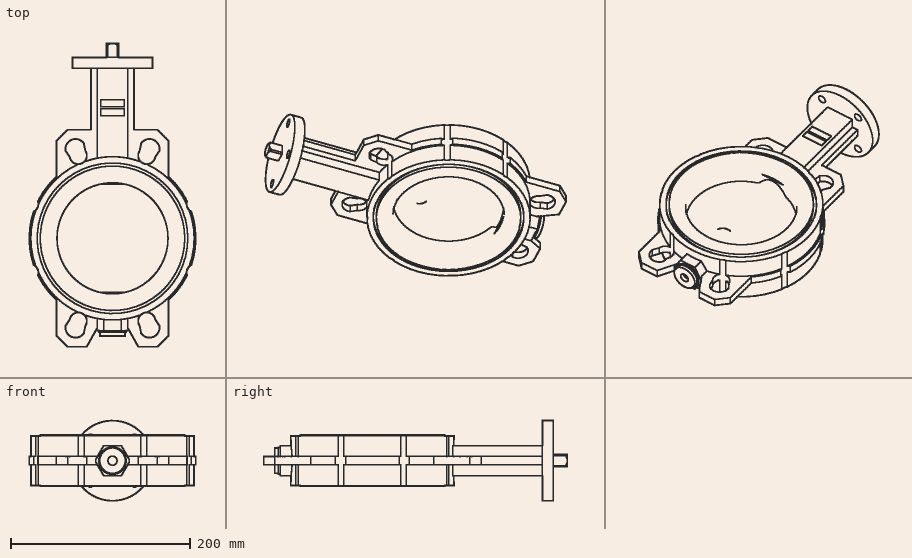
import cadquery as cq
import math


BODY_RADIUS = 91.2
BODY_HALF_LENGTH = 27.8
SEAT_HALF_LENGTH = 28.8
SEAT_RADIUS = 80.7
GROOVE_RADIUS = 84.0
GROOVE_DEPTH = 3.5
BORE_RADIUS = 62.0
BORE_ROUNDING = 5.8
BORE_FLAT_Y = 60.5
BORE_FLAT_HALF_HEIGHT = 17.3

PLATE_THICKNESS = 9.5
RIM_DIAMETER = 186.0
LUG_HALF_WIDTH = 62.7
LUG_REACH = 121.5
LUG_CHAMFER = 12.5
LUG_GAP_HALF_WIDTH = 28.8
LUG_GAP_INNER_HALF_WIDTH = 17.0
LUG_GAP_DEPTH = 21.5
RIB_WIDTH = 48.0

OUTER_BOLT_CIRCLE_RADIUS = 107.8
OUTER_BOLT_HOLE_RADIUS = 11.2
INNER_BOLT_CIRCLE_RADIUS = 100.0
INNER_BOLT_HOLE_RADIUS = 9.5
BOLT_COUNT = 8

NECK_WIDTH = 34.0
LABEL_WIDTH = 26.0
LABEL_HEIGHT = 8.0
LABEL_DEPTH = 0.5
LABEL_CENTRES_Y = (140.7, 151.0)
FLANGE_DIAMETER = 90.0
FLANGE_THICKNESS = 12.2
FLANGE_TOP_Y = 202.0
FLANGE_BOLT_RADIUS = 35.0
FLANGE_HOLE_DIAMETER = 9.0
FLANGE_HOLE_COUNT = 4
FLANGE_FIRST_HOLE_ANGLE = 45
SHAFT_TOP_Y = 217.5
SHAFT_SQUARE = 14.0
SHAFT_TURNED_RADIUS = 8.8
SHAFT_CHAMFER = 1.7

HEX_ACROSS_FLATS = NECK_WIDTH
HEX_END_Y = -103.0
COLLAR_RADIUS = 15.3
COLLAR_END_Y = -105.0
PLUG_RADIUS = 14.2
PLUG_END_Y = -109.0
PLUG_HOLE_RADIUS = 5.0
PLUG_HOLE_DEPTH = 5.0

DISC_EDGE_HALF_THICKNESS = 2.0
DISC_CENTRE_HALF_THICKNESS = 6.0
BLANK_RADIUS = 67.8
HUB_ARC_CENTRE_Z = 0.7
HUB_SIDE_ANGLE = math.radians(46)
HUB_OUTER_ARC_RADIUS = 15.3
HUB_INNER_ARC_RADIUS = 11.5
HUB_OUTER_Y = 71.2
HUB_INNER_Y = 24.0
HUB_END_ROUNDING = 9.5
HUB_ROOT_ROUNDING = 6.5

TOLERANCE = 0.005


def cylinder_along_y(radius, start_y, end_y):
    return cq.Workplane("XZ", origin=(0, start_y, 0)).circle(radius).extrude(start_y - end_y)


def box_between_y(width, height, start_y, end_y):
    middle_y = (start_y + end_y) / 2
    return cq.Workplane("XY").box(width, end_y - start_y, height).translate((0, middle_y, 0))


def polar(radius, angle):
    return radius * math.cos(angle), radius * math.sin(angle)


def make_plate():
    rim = cq.Workplane("XY").circle(RIM_DIAMETER / 2).extrude(PLATE_THICKNESS / 2, both=True)
    lugs = (
        cq.Workplane("XY")
        .rect(2 * LUG_HALF_WIDTH, 2 * LUG_REACH)
        .extrude(PLATE_THICKNESS / 2, both=True)
        .edges("|Z")
        .chamfer(LUG_CHAMFER)
    )
    gap_top_y = -LUG_REACH + LUG_GAP_DEPTH
    gap = (
        cq.Workplane("XY")
        .polyline([
            (-LUG_GAP_HALF_WIDTH, -LUG_REACH),
            (-LUG_GAP_INNER_HALF_WIDTH, gap_top_y),
            (LUG_GAP_INNER_HALF_WIDTH, gap_top_y),
            (LUG_GAP_HALF_WIDTH, -LUG_REACH),
        ])
        .close()
        .extrude(PLATE_THICKNESS, both=True)
    )
    rib = box_between_y(RIB_WIDTH, PLATE_THICKNESS, 0, FLANGE_TOP_Y - FLANGE_THICKNESS)
    return rim.union(lugs).cut(gap).union(rib)


def make_neck():
    flange_bottom_y = FLANGE_TOP_Y - FLANGE_THICKNESS
    neck = box_between_y(NECK_WIDTH, NECK_WIDTH, 0, flange_bottom_y)
    for label_y in LABEL_CENTRES_Y:
        label = cq.Workplane("XY").box(LABEL_WIDTH, LABEL_HEIGHT, 2 * LABEL_DEPTH)
        neck = neck.cut(label.translate((0, label_y, NECK_WIDTH / 2)))
    flange = cylinder_along_y(FLANGE_DIAMETER / 2, flange_bottom_y, FLANGE_TOP_Y)
    flange = (
        flange.faces(">Y")
        .workplane(origin=(0, FLANGE_TOP_Y, 0))
        .polarArray(FLANGE_BOLT_RADIUS, FLANGE_FIRST_HOLE_ANGLE, 360, FLANGE_HOLE_COUNT)
        .hole(FLANGE_HOLE_DIAMETER)
    )
    shaft = box_between_y(SHAFT_SQUARE, SHAFT_SQUARE, flange_bottom_y, SHAFT_TOP_Y)
    turned = cylinder_along_y(SHAFT_TURNED_RADIUS, flange_bottom_y, SHAFT_TOP_Y)
    shaft = shaft.intersect(turned.faces(">Y").chamfer(SHAFT_CHAMFER))
    return neck.union(flange).union(shaft)


def make_bottom_plug():
    hex_diameter = HEX_ACROSS_FLATS / math.cos(math.pi / 6)
    hexagon = cq.Workplane("XZ").polygon(6, hex_diameter).extrude(-HEX_END_Y)
    collar = cylinder_along_y(COLLAR_RADIUS, HEX_END_Y, COLLAR_END_Y)
    plug = cylinder_along_y(PLUG_RADIUS, COLLAR_END_Y, PLUG_END_Y)
    hole = cylinder_along_y(PLUG_HOLE_RADIUS, PLUG_END_Y + PLUG_HOLE_DEPTH, PLUG_END_Y)
    return hexagon.union(collar).union(plug).cut(hole)


def make_body_ring():
    return cq.Workplane("XY").circle(BODY_RADIUS).extrude(BODY_HALF_LENGTH, both=True)


def bolt_opening(angle):
    """Tangent hull of the two bolt holes on one radial line, through the full body length."""
    spread = OUTER_BOLT_CIRCLE_RADIUS - INNER_BOLT_CIRCLE_RADIUS
    tilt = math.acos((OUTER_BOLT_HOLE_RADIUS - INNER_BOLT_HOLE_RADIUS) / spread)
    outer_x, outer_y = polar(OUTER_BOLT_HOLE_RADIUS, tilt)
    inner_x, inner_y = polar(INNER_BOLT_HOLE_RADIUS, tilt)
    outer_x += OUTER_BOLT_CIRCLE_RADIUS
    inner_x += INNER_BOLT_CIRCLE_RADIUS
    opening = (
        cq.Workplane("XY")
        .moveTo(inner_x, -inner_y)
        .lineTo(outer_x, -outer_y)
        .threePointArc((OUTER_BOLT_CIRCLE_RADIUS + OUTER_BOLT_HOLE_RADIUS, 0), (outer_x, outer_y))
        .lineTo(inner_x, inner_y)
        .threePointArc((INNER_BOLT_CIRCLE_RADIUS - INNER_BOLT_HOLE_RADIUS, 0), (inner_x, -inner_y))
        .close()
        .extrude(SEAT_HALF_LENGTH, both=True)
    )
    return opening.rotate((0, 0, 0), (0, 0, 1), angle)


def cut_bolt_openings(casting):
    step = 360 / BOLT_COUNT
    for index in range(BOLT_COUNT):
        casting = casting.cut(bolt_opening((index + 0.5) * step))
    return casting


def add_seat(casting):
    groove_floor = BODY_HALF_LENGTH - GROOVE_DEPTH
    for side in (1, -1):
        groove = (
            cq.Workplane("XY", origin=(0, 0, side * groove_floor))
            .circle(GROOVE_RADIUS)
            .extrude(side * SEAT_HALF_LENGTH)
        )
        casting = casting.cut(groove)
    seat = cq.Workplane("XY").circle(SEAT_RADIUS).extrude(SEAT_HALF_LENGTH, both=True)
    return casting.union(seat)


def make_bore():
    bore = cq.Workplane("XY").circle(BORE_RADIUS).extrude(SEAT_HALF_LENGTH, both=True)
    mouth_radius = BORE_RADIUS + BORE_ROUNDING
    tangent_z = SEAT_HALF_LENGTH - BORE_ROUNDING
    arc_offset = BORE_ROUNDING * math.sqrt(0.5)
    flare = (
        cq.Workplane("XZ")
        .moveTo(0, tangent_z)
        .lineTo(BORE_RADIUS, tangent_z)
        .threePointArc(
            (mouth_radius - arc_offset, tangent_z + arc_offset),
            (mouth_radius, SEAT_HALF_LENGTH),
        )
        .lineTo(0, SEAT_HALF_LENGTH)
        .close()
        .revolve(360, (0, 0, 0), (0, 1, 0))
    )
    shaft_flats = cq.Workplane("XY").circle(BORE_RADIUS).extrude(BORE_FLAT_HALF_HEIGHT, both=True)
    shaft_flats = shaft_flats.cut(
        cq.Workplane("XY").box(2 * BORE_RADIUS, 2 * BORE_FLAT_Y, 2 * SEAT_HALF_LENGTH)
    )
    return bore.union(flare).union(flare.mirror("XY")).cut(shaft_flats)


def hub_section(arc_radius, y):
    """Roof-shaped section with a round ridge, standing on the disc mid-plane."""
    tangent_x = arc_radius * math.sin(HUB_SIDE_ANGLE)
    tangent_z = HUB_ARC_CENTRE_Z + arc_radius * math.cos(HUB_SIDE_ANGLE)
    foot_x = tangent_x + tangent_z / math.tan(HUB_SIDE_ANGLE)
    return (
        cq.Workplane("XZ", origin=(0, y, 0))
        .moveTo(-foot_x, 0)
        .lineTo(-tangent_x, tangent_z)
        .threePointArc((0, HUB_ARC_CENTRE_Z + arc_radius), (tangent_x, tangent_z))
        .lineTo(foot_x, 0)
        .close()
        .wires()
        .val()
    )


def make_hub():
    inner = hub_section(HUB_INNER_ARC_RADIUS, HUB_INNER_Y)
    outer = hub_section(HUB_OUTER_ARC_RADIUS, HUB_OUTER_Y)
    hub = cq.Workplane(cq.Solid.makeLoft([inner, outer], True))
    return hub.faces("<Y").edges("not <Z").fillet(HUB_END_ROUNDING)


def disc_surface_z(x, y):
    slope = (DISC_CENTRE_HALF_THICKNESS - DISC_EDGE_HALF_THICKNESS) / BORE_RADIUS
    return DISC_CENTRE_HALF_THICKNESS - slope * math.hypot(x, y)


def is_hub_root(edge):
    """True for the edges where a hub rises out of the conical disc face."""
    points = [edge.positionAt(fraction) for fraction in (0, 0.5, 1)]
    on_disc = all(abs(point.z - disc_surface_z(point.x, point.y)) < TOLERANCE for point in points)
    return on_disc and math.hypot(points[1].x, points[1].y) < BLANK_RADIUS - TOLERANCE


def make_half_disc():
    """Upper half of the disc, shaped as an oversize blank and then trimmed to the bore."""
    blank = (
        cq.Workplane("XZ")
        .polyline([
            (0, 0),
            (BLANK_RADIUS, 0),
            (BLANK_RADIUS, disc_surface_z(BLANK_RADIUS, 0)),
            (0, DISC_CENTRE_HALF_THICKNESS),
        ])
        .close()
        .revolve(360, (0, 0, 0), (0, 1, 0))
    )
    hub = make_hub()
    blank = blank.union(hub).union(hub.mirror("XZ"))
    hub_roots = [edge for edge in blank.edges().vals() if is_hub_root(edge)]
    blank = blank.newObject(hub_roots).fillet(HUB_ROOT_ROUNDING)
    trim = cq.Workplane("XY").circle(BORE_RADIUS).extrude(SEAT_HALF_LENGTH)
    return blank.intersect(trim)


casting = make_plate().union(make_neck()).union(make_bottom_plug()).union(make_body_ring())
casting = add_seat(cut_bolt_openings(casting)).cut(make_bore())
half_disc = make_half_disc()
result = casting.union(half_disc).union(half_disc.mirror("XY"))